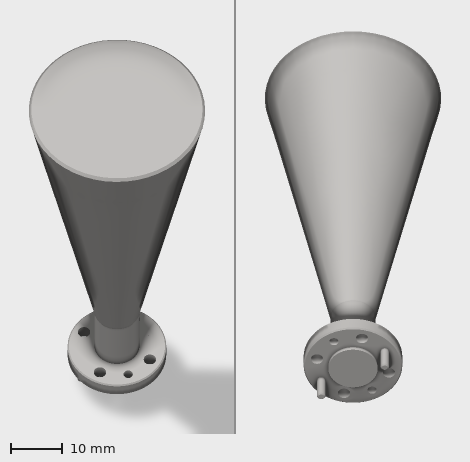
import cadquery as cq
import math

total_height = 85.15
mouth_radius = 17.0
mouth_chamfer = 0.5

neck_radius = 4.35
neck_top_z = 19.25

flange_radius = 9.5
flange_bottom_z = 4.85
flange_top_z = 7.9
flange_chamfer = 0.25
boss_radius = 4.8
boss_bottom_z = 4.1

bolt_circle_radius = 7.15
screw_hole_diameter = 2.4
screw_hole_angles = [0, 90, 180, 270]
dowel_hole_diameter = 1.8
dowel_hole_angles = [135, 315]
pin_diameter = 1.6
pin_chamfer = 0.25
pin_angles = [45, 225]


def bolt_circle_point(angle):
    """Point on the bolt circle at an angle in degrees."""
    radians = math.radians(angle)
    return (bolt_circle_radius * math.cos(radians), bolt_circle_radius * math.sin(radians))


def flange_cutters(diameter, angles):
    """Cylinders that pierce the full flange thickness."""
    return (
        cq.Workplane("XY", origin=(0, 0, flange_bottom_z))
        .pushPoints([bolt_circle_point(angle) for angle in angles])
        .circle(diameter / 2)
        .extrude(flange_top_z - flange_bottom_z)
    )


def make_horn():
    """Solid of revolution: boss, flange, neck and cone, with the flange holes."""
    body = (
        cq.Workplane("XZ")
        .moveTo(0, boss_bottom_z)
        .lineTo(boss_radius, boss_bottom_z)
        .lineTo(boss_radius, flange_bottom_z)
        .lineTo(flange_radius - flange_chamfer, flange_bottom_z)
        .lineTo(flange_radius, flange_bottom_z + flange_chamfer)
        .lineTo(flange_radius, flange_top_z - flange_chamfer)
        .lineTo(flange_radius - flange_chamfer, flange_top_z)
        .lineTo(neck_radius, flange_top_z)
        .lineTo(neck_radius, neck_top_z)
        .lineTo(mouth_radius, total_height - mouth_chamfer)
        .lineTo(mouth_radius - mouth_chamfer, total_height)
        .lineTo(0, total_height)
        .close()
        .revolve(360, (0, 0, 0), (0, 1, 0))
    )
    body = body.cut(flange_cutters(screw_hole_diameter, screw_hole_angles))
    body = body.cut(flange_cutters(dowel_hole_diameter, dowel_hole_angles))
    return body.cut(flange_cutters(pin_diameter, pin_angles))


def make_pin(angle):
    """Alignment pin, flush with the flange top and chamfered at its lower tip."""
    return (
        cq.Workplane("XY")
        .center(*bolt_circle_point(angle))
        .circle(pin_diameter / 2)
        .extrude(flange_top_z)
        .faces("<Z")
        .chamfer(pin_chamfer)
    )


horn = make_horn()
pins = [make_pin(angle) for angle in pin_angles]

result = cq.Compound.makeCompound([horn.solids().val(), *[pin.val() for pin in pins]])